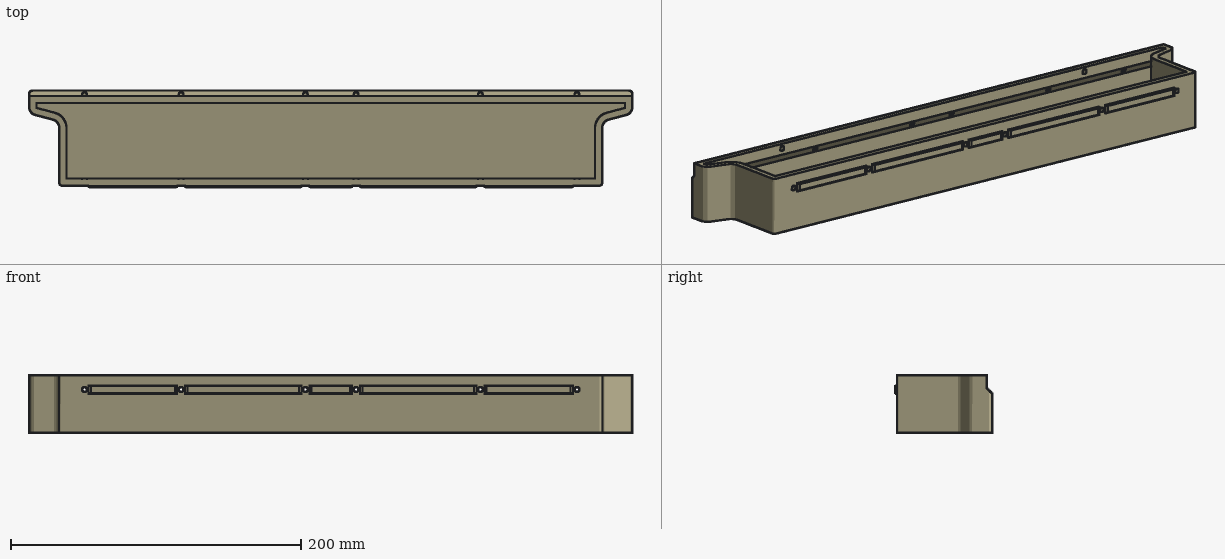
import cadquery as cq
import math

length = 416.0
depth = 65.8
height = 40.0
wall = 5.0
floor = 4.0

box_inset = 21.0
lip_side = 16.0
taper_angle = 15.0
lip_radius = 6.0
neck_radius = 6.0
front_radius = 2.0
back_radius = 2.5

jog = 3.7
outer_jog_top = 9.0
outer_jog_bottom = 13.0
inner_jog_top = 8.0
inner_jog_bottom = 13.5

hole_offsets = (17.5, 103.2, 170.0)
hole_drop = 10.0
hole_diameter = 3.3
bar_width = 6.0
bar_height = 1.2
bar_bevel = 0.62
bar_end_ramp = 1.5
bar_gap = 5.5

back_hole_offset = 134.0
back_hole_drop = 3.5
back_hole_diameter = 3.4

half_length = length / 2
half_box = half_length - box_inset
front_y = -depth / 2
back_y = depth / 2
hole_z = height - hole_drop
hole_xs = sorted([-x for x in hole_offsets] + list(hole_offsets))
taper_slope = math.tan(math.radians(taper_angle))


def vertical_edges_at(solid, points, radius):
    """Round the upright edges standing on the given plan points."""
    reach = 0.2
    for x, y in points:
        corner = cq.selectors.BoxSelector(
            (x - reach, y - reach, -height), (x + reach, y + reach, 2 * height)
        )
        solid = solid.edges("|Z").edges(corner).fillet(radius)
    return solid


def mirrored(x, y):
    return [(-x, y), (x, y)]


def plan_block(offset, neck_round, bottom):
    """Upright block on the tray outline moved inwards by an offset, with rounded necks."""
    lip_x = half_length - offset
    box_x = half_box - offset
    slope_shift = offset / math.cos(math.radians(taper_angle))
    lip_y = back_y - lip_side + slope_shift - offset * taper_slope
    box_y = lip_y - (lip_x - box_x) * taper_slope
    right_half = [
        (box_x, front_y + offset),
        (box_x, box_y),
        (lip_x, lip_y),
        (lip_x, back_y - offset),
    ]
    left_half = [(-x, y) for x, y in reversed(right_half)]
    block = (
        cq.Workplane("XY")
        .workplane(offset=bottom)
        .polyline(right_half + left_half)
        .close()
        .extrude(height - bottom)
    )
    return vertical_edges_at(block, mirrored(box_x, box_y), neck_round)


def behind_jog(face_y, top_drop, bottom_drop):
    """Space behind the set-forward part of a back face, with its slope between two drops from the rim."""
    return (
        cq.Workplane("YZ")
        .moveTo(face_y, height - bottom_drop)
        .lineTo(face_y - jog, height - top_drop)
        .lineTo(face_y - jog, height)
        .lineTo(face_y, height)
        .close()
        .extrude(half_length, both=True)
    )


def make_shell():
    outside = plan_block(0, neck_radius, 0)
    outside = vertical_edges_at(outside, mirrored(half_length, back_y - lip_side), lip_radius)
    outside = vertical_edges_at(outside, mirrored(half_box, front_y), front_radius)
    outside = vertical_edges_at(outside, mirrored(half_length, back_y), back_radius)
    cavity = plan_block(wall, neck_radius + wall, floor)
    outside = outside.cut(behind_jog(back_y, outer_jog_top, outer_jog_bottom))
    cavity = cavity.cut(behind_jog(back_y - wall, inner_jog_top, inner_jog_bottom))
    return outside.cut(cavity)


def make_holes():
    """Holes running from front to back through both long walls."""
    return (
        cq.Workplane("XZ", origin=(0, back_y, 0))
        .pushPoints([(x, hole_z) for x in hole_xs])
        .circle(hole_diameter / 2)
        .extrude(depth)
    )


def make_bar(left_hole_x, right_hole_x):
    """Raised bar between two holes, bevelled along its long edges and ramped at its ends."""
    half_bar = (right_hole_x - left_hole_x - bar_gap) / 2
    middle_x = (left_hole_x + right_hole_x) / 2
    half_width = bar_width / 2
    lengthwise = (
        cq.Workplane("XY", origin=(middle_x, front_y, hole_z))
        .moveTo(-half_bar, 0)
        .lineTo(half_bar, 0)
        .lineTo(half_bar, bar_bevel - bar_height)
        .lineTo(half_bar - bar_end_ramp, -bar_height)
        .lineTo(bar_end_ramp - half_bar, -bar_height)
        .lineTo(-half_bar, bar_bevel - bar_height)
        .close()
        .extrude(half_width, both=True)
    )
    crosswise = (
        cq.Workplane("YZ", origin=(middle_x, front_y, hole_z))
        .moveTo(0, -half_width)
        .lineTo(bar_bevel - bar_height, -half_width)
        .lineTo(-bar_height, bar_bevel - half_width)
        .lineTo(-bar_height, half_width - bar_bevel)
        .lineTo(bar_bevel - bar_height, half_width)
        .lineTo(0, half_width)
        .close()
        .extrude(half_bar, both=True)
    )
    return lengthwise.intersect(crosswise)


def make_back_holes():
    return (
        cq.Workplane("XZ", origin=(0, back_y, height - back_hole_drop))
        .pushPoints(mirrored(back_hole_offset, 0))
        .circle(back_hole_diameter / 2)
        .extrude(jog + 2 * wall)
    )


tray = make_shell().cut(make_holes()).cut(make_back_holes())
for left_hole_x, right_hole_x in zip(hole_xs, hole_xs[1:]):
    tray = tray.union(make_bar(left_hole_x, right_hole_x))

result = cq.Compound.makeCompound([tray.val()])